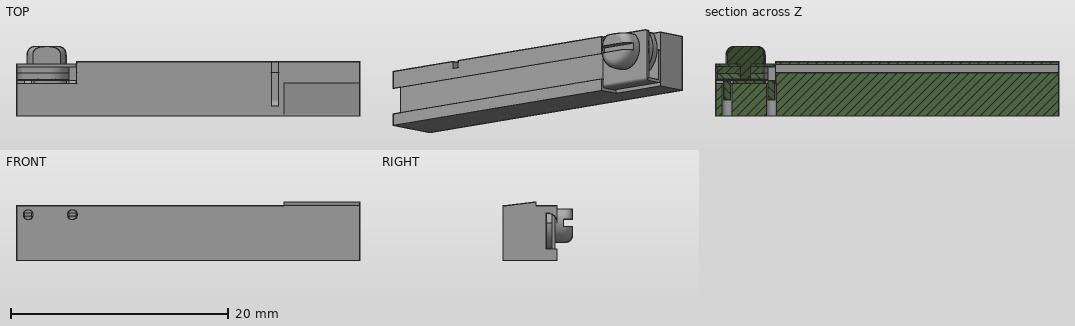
import cadquery as cq
import math

housing_length = 31.6
housing_width = 5.0
housing_height = 5.05

recess_length = 5.53
recess_wall_y = 3.0

groove_depth = 1.0
groove_bottom_z = 1.08
groove_top_z = 4.35
groove_roof_radius = 0.9

slot_x = 23.45
slot_width = 0.66
slot_end_y = 0.95
slot_depth = 0.66
slot_end_radius = 0.56

wedge_start_x = 24.6
wedge_front_y = 0.17
wedge_back_y = 3.05
wedge_height = 0.35

prong_centers_x = (1.07, 5.14)
prong_z = 4.22
prong_hole_diameter = 0.9

sheet = 0.28
clip_inner_y = recess_wall_y
clip_outer_y = 4.8
clip_bottom_z = 0.29
clip_corner_radius = 0.28
low_wall_top_z = 3.35
tab_left_x = 1.6
tab_right_x = 4.6
tab_top_z = 4.9
tab_left_radius = 0.9
tab_right_radius = 1.0

prong_width = 0.64
prong_bend_radius = 0.15
prong_tip_y = 1.5

plate_count = 2
plate_thickness = 0.57
plate_center_x = 2.43
plate_center_z = 3.44
plate_radius = 2.38
plate_top_z = 5.0
plate_flat_left_x = 0.67
plate_flat_right_x = 3.05
plate_shoulder_angle = 27
plate_nose_radius = 1.5
plate_nose_angle = 40

screw_x = 2.77
screw_z = 3.46
head_diameter = 3.64
head_height = 1.62
head_edge_radius = 0.72
head_flat_z = 4.76
driver_slot_width = 0.64
driver_slot_depth = 0.82
shank_diameter = 1.6

clip_inside_inner_y = clip_inner_y + sheet
clip_inside_outer_y = clip_outer_y - sheet
shank_tip_y = clip_inside_outer_y - plate_count * plate_thickness


def box(x0, x1, y0, y1, z0, z1):
    """Box between two opposite corners."""
    return cq.Workplane("XY").box(x1 - x0, y1 - y0, z1 - z0, centered=False).translate((x0, y0, z0))


def rod(x, z, diameter, y0, y1):
    """Cylinder along Y from y0 to y1."""
    return cq.Workplane("XZ", origin=(x, y0, z)).circle(diameter / 2).extrude(y0 - y1)


def make_wedge():
    profile = cq.Workplane("YZ", origin=(wedge_start_x, 0, housing_height))
    profile = profile.moveTo(wedge_front_y, 0).lineTo(wedge_back_y, 0).lineTo(wedge_back_y, wedge_height)
    return profile.close().extrude(housing_length - wedge_start_x)


def make_cross_slot():
    slot = box(slot_x, slot_x + slot_width, slot_end_y, housing_width,
               housing_height - slot_depth, housing_height)
    return slot.edges("|X and <Y and <Z").fillet(slot_end_radius)


def make_groove():
    groove = box(0, housing_length, housing_width - groove_depth, housing_width,
                 groove_bottom_z, groove_top_z)
    return groove.edges("|X and >Y and >Z").fillet(groove_roof_radius)


def make_housing():
    body = box(0, housing_length, 0, housing_width, 0, housing_height)
    body = body.cut(box(0, recess_length, recess_wall_y, housing_width, 0, housing_height))
    body = body.cut(make_groove())
    body = body.cut(make_cross_slot())
    for x in prong_centers_x:
        body = body.cut(rod(x, prong_z, prong_hole_diameter, 0, recess_wall_y))
    return body.union(make_wedge())


def make_prong(center_x):
    """Strip that rises from the inner wall and bends over toward -Y."""
    underside_z = prong_z - sheet / 2
    top_z = prong_z + sheet / 2
    bend_y = clip_inner_y - prong_bend_radius
    bend_z = underside_z - prong_bend_radius
    outer_radius = prong_bend_radius + sheet
    diagonal = math.sqrt(0.5)
    profile = (
        cq.Workplane("YZ", origin=(center_x - prong_width / 2, 0, 0))
        .moveTo(clip_inner_y, clip_bottom_z + sheet)
        .lineTo(clip_inside_inner_y, clip_bottom_z + sheet)
        .lineTo(clip_inside_inner_y, bend_z)
        .threePointArc((bend_y + outer_radius * diagonal, bend_z + outer_radius * diagonal), (bend_y, top_z))
        .lineTo(prong_tip_y, top_z)
        .lineTo(prong_tip_y, underside_z)
        .lineTo(bend_y, underside_z)
        .threePointArc((bend_y + prong_bend_radius * diagonal, bend_z + prong_bend_radius * diagonal),
                       (clip_inner_y, bend_z))
        .close()
    )
    return profile.extrude(prong_width)


def make_clip():
    clip = box(0, recess_length, clip_inner_y, clip_outer_y, clip_bottom_z, housing_height)
    clip = clip.edges("|X and <Z").fillet(clip_corner_radius)
    clip = clip.edges("|Y and >Z").fillet(clip_corner_radius)
    clip = clip.cut(box(0, recess_length, clip_inside_inner_y, clip_inside_outer_y,
                        clip_bottom_z + sheet, housing_height))
    clip = clip.cut(box(0, recess_length, clip_inner_y, clip_inside_inner_y,
                        low_wall_top_z, housing_height))
    tab = box(tab_left_x, tab_right_x, clip_inner_y, clip_inside_inner_y,
              clip_bottom_z + sheet, tab_top_z)
    tab = tab.edges("|Y and >Z and <X").fillet(tab_left_radius)
    tab = tab.edges("|Y and >Z and >X").fillet(tab_right_radius)
    clip = clip.union(tab)
    for x in prong_centers_x:
        clip = clip.union(make_prong(x))
    return clip.cut(rod(screw_x, screw_z, shank_diameter, clip_inside_outer_y, clip_outer_y))


def make_plate(inner_y):
    """Cam outline: round below, flat on top, with a small left corner and a long right nose."""
    shoulder = math.radians(plate_shoulder_angle)
    nose = math.radians(plate_nose_angle)
    left_x = plate_center_x - plate_radius
    right_x = plate_center_x + plate_radius
    shoulder_start = (plate_center_x - plate_radius * math.cos(shoulder),
                      plate_center_z + plate_radius * math.sin(shoulder))
    shoulder_tangent = (math.sin(shoulder), math.cos(shoulder))
    corner_x = shoulder_start[0] + (plate_top_z - shoulder_start[1]) * math.tan(shoulder)
    tangent_length = plate_flat_left_x - corner_x
    shoulder_end = (corner_x - tangent_length * shoulder_tangent[0],
                    plate_top_z - tangent_length * shoulder_tangent[1])
    nose_end = (plate_flat_right_x + plate_nose_radius * math.sin(nose),
                plate_top_z - plate_nose_radius * (1 - math.cos(nose)))
    profile = (
        cq.Workplane("XZ", origin=(0, inner_y, 0))
        .moveTo(right_x, plate_center_z)
        .threePointArc((plate_center_x, plate_center_z - plate_radius), (left_x, plate_center_z))
        .threePointArc((plate_center_x - plate_radius * math.cos(shoulder / 2),
                        plate_center_z + plate_radius * math.sin(shoulder / 2)), shoulder_start)
        .lineTo(*shoulder_end)
        .tangentArcPoint((plate_flat_left_x, plate_top_z), relative=False)
        .lineTo(plate_flat_right_x, plate_top_z)
        .tangentArcPoint(nose_end, relative=False)
        .tangentArcPoint((right_x, plate_center_z), relative=False)
        .close()
    )
    plate = profile.extrude(-plate_thickness)
    return plate.cut(rod(screw_x, screw_z, shank_diameter, inner_y, inner_y + plate_thickness))


def make_screw():
    head_top_y = clip_outer_y + head_height
    head_radius = head_diameter / 2
    head = rod(screw_x, screw_z, head_diameter, clip_outer_y, head_top_y)
    head = head.faces(">Y").edges().fillet(head_edge_radius)
    head = head.cut(box(screw_x - head_radius, screw_x + head_radius, clip_outer_y, head_top_y,
                        head_flat_z, screw_z + head_radius))
    head = head.cut(box(screw_x - head_radius, screw_x + head_radius,
                        head_top_y - driver_slot_depth, head_top_y,
                        screw_z - driver_slot_width / 2, screw_z + driver_slot_width / 2))
    return head.union(rod(screw_x, screw_z, shank_diameter, shank_tip_y, clip_outer_y))


housing = make_housing()
clip = make_clip()
screw = make_screw()
plates = [make_plate(shank_tip_y + i * plate_thickness) for i in range(plate_count)]

result = cq.Compound.makeCompound(
    [housing.val(), clip.val(), screw.val(), *[plate.val() for plate in plates]]
)